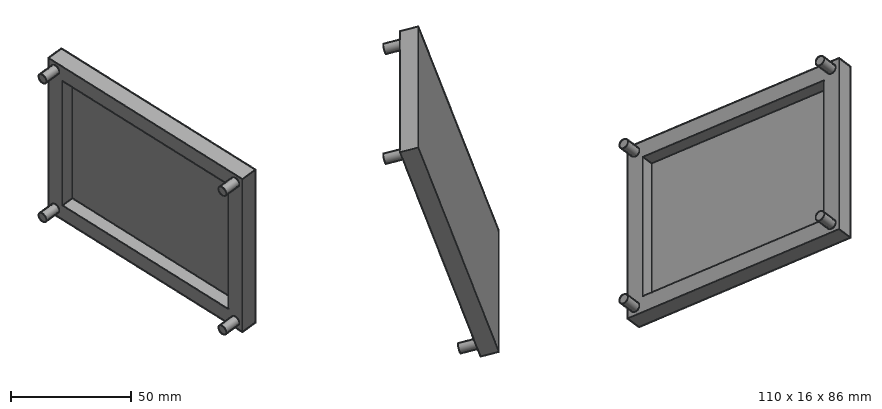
import cadquery as cq

width = 110.0
height = 86.0
total_depth = 16.0
plate_depth = 8.0

border = 8.0
recess_depth = 6.0

pin_diameter = 4.5
pin_inset = border / 2
pin_length = total_depth - plate_depth

plate = cq.Workplane("XZ").rect(width, height).extrude(plate_depth)

recess = (
    plate.faces("<Y").workplane(centerOption="CenterOfBoundBox")
    .rect(width - 2 * border, height - 2 * border)
    .extrude(-recess_depth, combine=False)
)

pins = (
    plate.faces("<Y").workplane(centerOption="CenterOfBoundBox")
    .rect(width - 2 * pin_inset, height - 2 * pin_inset, forConstruction=True)
    .vertices()
    .circle(pin_diameter / 2)
    .extrude(pin_length, combine=False)
)

result = plate.cut(recess).union(pins)